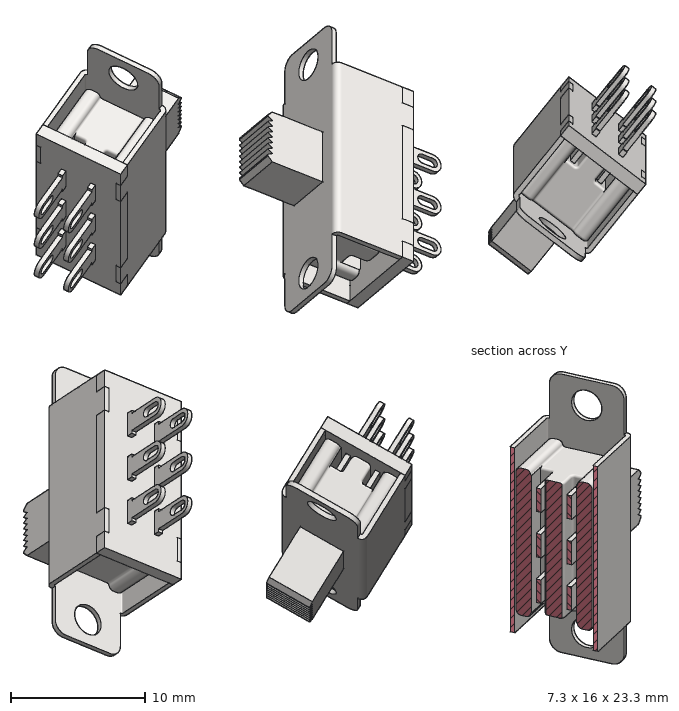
import cadquery as cq
import math

body_width = 7.3
body_length = 15.5
body_depth = 7.0
sheet = 0.4
base_thickness = 1.0

bend_radius = 0.5
ear_width = 6.2
ear_span = 23.3
ear_corner_radius = 1.0
mount_hole_diameter = 2.5
mount_hole_spacing = 19.0
tab_inner_z = 4.25
tab_outer_z = 6.3
tab_length = tab_outer_z - tab_inner_z
tab_center_z = (tab_inner_z + tab_outer_z) / 2
inner_width = body_width - 2 * sheet
case_ceiling = body_depth - sheet

terminal_thickness = 0.4
column_pitch = 2.54
row_pitch = 3.81
terminal_reach = 4.0
shoulder_width = 2.0
shoulder_height = 0.5
blade_width = 1.5
eye_width = 0.8
eye_length = 1.75

slider_side_gap = 0.05
slider_width = inner_width - 2 * slider_side_gap
floor_z = 5.7
ridge_height = 0.5
channel_outer_x = 1.85
crest_inner_x = 2.35
crest_outer_x = 2.7
ridge_radius = 0.45
ridge_foot_radius = 0.2
end_edge_radius = 0.2
notch_roof_y = 2.6
tongue_width = 1.65
tongue_tip_radius = 0.4
tongue_root_radius = 0.2
knob_width = 3.75
knob_length = 4.55
knob_height = 4.95
serration_depth = 0.4
serration_pitch = 0.5
serration_count = 7

margin = 0.01


def block(width, y_low, y_high, length):
    """Box centred on X and Z that spans y_low to y_high."""
    return cq.Workplane("XY").box(width, y_high - y_low, length).translate((0, (y_low + y_high) / 2, 0))


def tabs():
    """The four crimp tabs that continue the case walls down to the back of the base."""
    tab_x = (body_width - sheet) / 2
    spots = [(x, z) for x in (-tab_x, tab_x) for z in (-tab_center_z, tab_center_z)]
    return (
        cq.Workplane("XZ")
        .pushPoints(spots)
        .rect(sheet, tab_length)
        .extrude(-base_thickness)
    )


def make_case():
    channel = block(body_width, base_thickness, body_depth, body_length)
    channel = channel.faces(">Y").edges("|Z").fillet(bend_radius)
    hollow = block(inner_width, base_thickness, case_ceiling, body_length)
    hollow = hollow.faces(">Y").edges("|Z").fillet(bend_radius - sheet)
    ears = block(ear_width, case_ceiling, body_depth, ear_span).edges("|Y").fillet(ear_corner_radius)
    mount_holes = (
        cq.Workplane("XZ")
        .pushPoints([(0, -mount_hole_spacing / 2), (0, mount_hole_spacing / 2)])
        .circle(mount_hole_diameter / 2)
        .extrude(-body_depth)
    )
    knob_opening = block(knob_width, case_ceiling, body_depth, knob_length)
    return channel.cut(hollow).union(ears).union(tabs()).cut(mount_holes).cut(knob_opening)


def make_terminal():
    """One solder terminal, centred on X = 0 and Z = 0."""
    tip_center_y = blade_width / 2 - terminal_reach
    eye_center_y = tip_center_y - eye_width / 2 + eye_length / 2
    blade = (
        cq.Workplane("YZ")
        .moveTo(notch_roof_y, shoulder_width / 2)
        .lineTo(-shoulder_height, shoulder_width / 2)
        .lineTo(-shoulder_height, blade_width / 2)
        .lineTo(tip_center_y, blade_width / 2)
        .threePointArc((-terminal_reach, 0), (tip_center_y, -blade_width / 2))
        .lineTo(-shoulder_height, -blade_width / 2)
        .lineTo(-shoulder_height, -shoulder_width / 2)
        .lineTo(notch_roof_y, -shoulder_width / 2)
        .close()
        .extrude(terminal_thickness / 2, both=True)
    )
    eye = (
        cq.Workplane("YZ")
        .center(eye_center_y, 0)
        .slot2D(eye_length, eye_width)
        .extrude(terminal_thickness, both=True)
    )
    return blade.cut(eye)


def make_base():
    base = block(body_width, 0, base_thickness, body_length).cut(tabs())
    for x in (-column_pitch / 2, column_pitch / 2):
        for z in (-row_pitch, 0, row_pitch):
            base = base.union(make_terminal().translate((x, 0, z)))
    return base


def ridged_end(end):
    """Slider profile from Z = 0 to one end face (end = 1 or -1), extruded along Y.

    Each ridge flank is a convex arc that runs tangentially into a concave foot arc.
    """
    crest_z = floor_z + ridge_height
    side_x = slider_width / 2
    crest_center = (crest_inner_x, crest_z - ridge_radius)
    flank_angle = math.acos(1 - ridge_height / (ridge_radius + ridge_foot_radius))
    foot_center = (
        crest_inner_x - (ridge_radius + ridge_foot_radius) * math.sin(flank_angle),
        floor_z + ridge_foot_radius,
    )

    def crest_arc(angle):
        x, z = crest_center
        return (x - ridge_radius * math.sin(angle), z + ridge_radius * math.cos(angle))

    def foot_arc(angle):
        x, z = foot_center
        return (x + ridge_foot_radius * math.sin(angle), z - ridge_foot_radius * math.cos(angle))

    def mirrored(point):
        return (-point[0], point[1])

    crest_mid = crest_arc(flank_angle / 2)
    flank = crest_arc(flank_angle)
    foot_mid = foot_arc(flank_angle / 2)
    foot = foot_arc(0)
    corner_radius = side_x - crest_outer_x
    corner_sagitta = corner_radius * (1 - math.sqrt(0.5))
    corner_low = (side_x, crest_z - corner_radius)
    corner_mid = (side_x - corner_sagitta, crest_z - corner_sagitta)
    corner_top = (crest_outer_x, crest_z)
    crest_edge = (crest_inner_x, crest_z)
    outline = (
        cq.Workplane("XZ")
        .moveTo(side_x, 0)
        .lineTo(*corner_low)
        .threePointArc(corner_mid, corner_top)
        .lineTo(*crest_edge)
        .threePointArc(crest_mid, flank)
        .threePointArc(foot_mid, foot)
        .lineTo(*mirrored(foot))
        .threePointArc(mirrored(foot_mid), mirrored(flank))
        .threePointArc(mirrored(crest_mid), mirrored(crest_edge))
        .lineTo(*mirrored(corner_top))
        .threePointArc(mirrored(corner_mid), mirrored(corner_low))
        .lineTo(-side_x, 0)
        .close()
    )
    half = outline.extrude(base_thickness - case_ceiling).translate((0, base_thickness, 0))
    return half if end > 0 else half.mirror("XY")


def make_carriage():
    """The part of the slider inside the case, with two rounded ridges along Y on each end."""
    carriage = ridged_end(1).union(ridged_end(-1))

    channel_width = channel_outer_x - tongue_width / 2
    channel_x = (channel_outer_x + tongue_width / 2) / 2
    channel = block(channel_width, base_thickness, notch_roof_y, body_length)
    for side in (-1, 1):
        carriage = carriage.cut(channel.translate((side * channel_x, 0, 0)))
    for y, radius in ((base_thickness, tongue_tip_radius), (notch_roof_y, tongue_root_radius)):
        corners = cq.selectors.BoxSelector(
            (-tongue_width / 2 - margin, y - margin, -margin),
            (tongue_width / 2 + margin, y + margin, margin),
        )
        carriage = carriage.edges("|Z").edges(corners).fillet(radius)

    rim_z = floor_z - margin
    upper_end = cq.selectors.BoxSelector((-body_width, 0, rim_z), (body_width, body_depth, body_length))
    lower_end = cq.selectors.BoxSelector((-body_width, 0, -body_length), (body_width, body_depth, -rim_z))
    carriage = carriage.edges(upper_end + lower_end).edges("not |Y").fillet(end_edge_radius)
    return carriage


def make_knob():
    """Finger knob: chamfered ends and V serrations across the front face."""
    top_y = body_depth + knob_height
    root_y = top_y - serration_depth
    knob = block(knob_width, case_ceiling, top_y, knob_length)
    knob = knob.faces(">Y").edges("|X").chamfer(serration_depth)
    for index in range(serration_count):
        z = (index - (serration_count - 1) / 2) * serration_pitch
        groove = (
            cq.Workplane("YZ")
            .moveTo(root_y, z)
            .lineTo(top_y, z + serration_pitch / 2)
            .lineTo(top_y, z - serration_pitch / 2)
            .close()
            .extrude(knob_width, both=True)
        )
        knob = knob.cut(groove)
    return knob


def make_slider():
    return make_carriage().union(make_knob())


case = make_case()
base = make_base()
slider = make_slider()

result = cq.Compound.makeCompound([case.val(), base.val(), slider.val()])